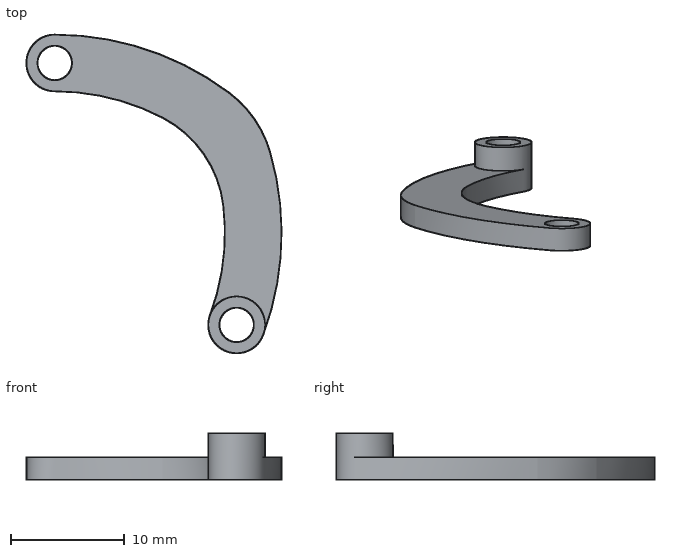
import cadquery as cq
import math

arm_width = 5.0
plate_thickness = 2.0
boss_height = 4.1
bore_diameter = 3.0
path_radius = 23.0
elbow_radius = 10.0

end_radius = arm_width / 2
inner_radius = path_radius - end_radius
outer_radius = path_radius + end_radius

eye_center = (0.0, 0.0)
boss_center = (15.97, -path_radius)
overall_length_x = 22.43

eye_band_center = (0.0, -path_radius)
boss_band_x = overall_length_x - end_radius - outer_radius
boss_band_rise = math.sqrt(path_radius**2 - (boss_center[0] - boss_band_x) ** 2)
boss_band_center = (boss_band_x, boss_center[1] + boss_band_rise)


def point_toward(start, target, distance):
    """Point at the given distance from start on the ray through target."""
    span = math.dist(start, target)
    return tuple(s + (t - s) * distance / span for s, t in zip(start, target))


def arc_middle(center, radius, first, last):
    """Middle point of the shorter arc between two points of a circle."""
    chord_middle = ((first[0] + last[0]) / 2, (first[1] + last[1]) / 2)
    return point_toward(center, chord_middle, radius)


def elbow_center(edge_radius):
    """Centre of the elbow blend, equally far from both band centres."""
    spacing = math.dist(eye_band_center, boss_band_center)
    offset = math.sqrt((edge_radius - elbow_radius) ** 2 - (spacing / 2) ** 2)
    along_x = (boss_band_center[0] - eye_band_center[0]) / spacing
    along_y = (boss_band_center[1] - eye_band_center[1]) / spacing
    middle_x = (eye_band_center[0] + boss_band_center[0]) / 2
    middle_y = (eye_band_center[1] + boss_band_center[1]) / 2
    return (middle_x + offset * along_y, middle_y - offset * along_x)


def edge_arcs(edge_radius):
    """Start point and (middle, end) pairs of one long edge, from the eye to the boss."""
    blend_center = elbow_center(edge_radius)
    start = point_toward(eye_band_center, eye_center, edge_radius)
    blend_start = point_toward(eye_band_center, blend_center, edge_radius)
    blend_end = point_toward(boss_band_center, blend_center, edge_radius)
    end = point_toward(boss_band_center, boss_center, edge_radius)
    return start, [
        (arc_middle(eye_band_center, edge_radius, start, blend_start), blend_start),
        (arc_middle(blend_center, elbow_radius, blend_start, blend_end), blend_end),
        (arc_middle(boss_band_center, edge_radius, blend_end, end), end),
    ]


def make_arm():
    """Plate bounded by the two long edges and the round ends."""
    outer_start, outer_arcs = edge_arcs(outer_radius)
    inner_start, inner_arcs = edge_arcs(inner_radius)
    radial_x = (boss_center[0] - boss_band_center[0]) / path_radius
    radial_y = (boss_center[1] - boss_band_center[1]) / path_radius
    boss_tip = (boss_center[0] + end_radius * radial_y, boss_center[1] - end_radius * radial_x)
    eye_tip = (eye_center[0] - end_radius, eye_center[1])

    outline = cq.Workplane("XY").moveTo(*outer_start)
    for middle, end in outer_arcs:
        outline = outline.threePointArc(middle, end)
    inner_end = inner_arcs[-1][1]
    outline = outline.threePointArc(boss_tip, inner_end)

    arc_starts = [inner_start] + [end for _, end in inner_arcs[:-1]]
    for start, (middle, _) in zip(reversed(arc_starts), reversed(inner_arcs)):
        outline = outline.threePointArc(middle, start)
    outline = outline.threePointArc(eye_tip, outer_start)
    return outline.close().extrude(plate_thickness)


def make_boss():
    return cq.Workplane("XY").center(*boss_center).circle(end_radius).extrude(boss_height)


def make_bores():
    return (
        cq.Workplane("XY")
        .pushPoints([eye_center, boss_center])
        .circle(bore_diameter / 2)
        .extrude(boss_height)
    )


result = make_arm().union(make_boss()).cut(make_bores())